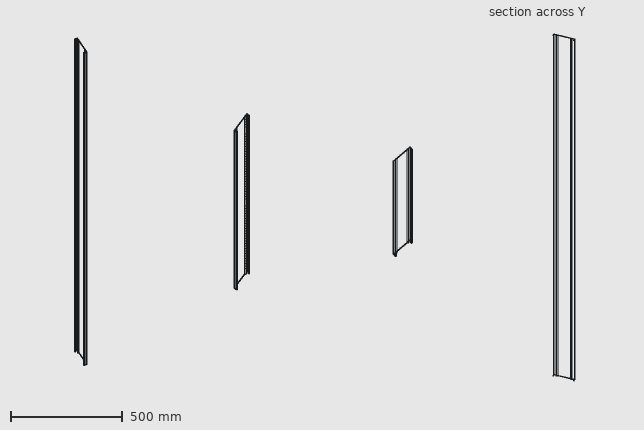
import cadquery as cq

length = 2000.0
width = 100.0
depth = 15.8
web_thickness = 2.0
leg_thickness = 1.5
hook_width = 5.0
hook_height = 5.0
taper_inset = 0.8
rib_inset = 12.0
rib_crest_width = 5.0
rib_height = 5.0
rib_slope_width = rib_height

half_width = width / 2
back = depth / 2
front = -depth / 2
leg_inner = half_width - leg_thickness
hook_edge = half_width - hook_width
hook_top = front + hook_height
web_face = back - web_thickness
rib_face = web_face - rib_height
rib_outer = half_width - rib_inset
rib_crest = rib_outer - rib_crest_width
rib_foot = rib_crest - rib_slope_width

right_half = [
    (half_width, back),
    (half_width, hook_top),
    (half_width - taper_inset, front),
    (hook_edge, front),
    (hook_edge, hook_top),
    (leg_inner, hook_top),
    (leg_inner, web_face),
    (rib_outer, web_face),
    (rib_outer, rib_face),
    (rib_crest, rib_face),
    (rib_foot, web_face),
]
left_half = [(-x, y) for x, y in reversed(right_half)]

result = (
    cq.Workplane("XY", origin=(0, 0, -length / 2))
    .polyline(right_half + left_half)
    .close()
    .extrude(length)
)